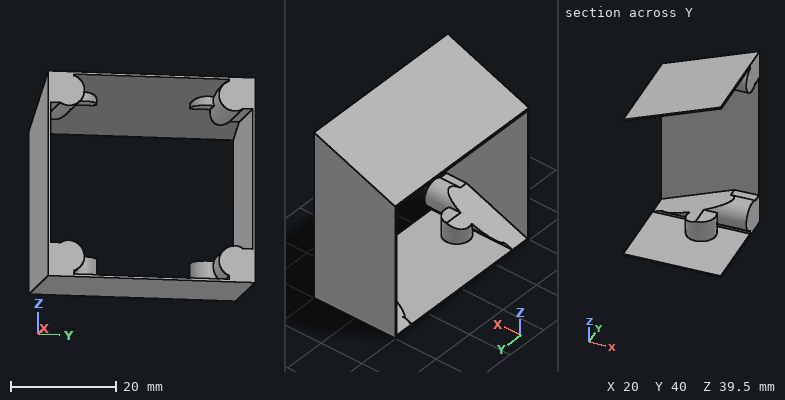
import cadquery as cq

depth = 20.0
width = 40.0
frame_height = 40.0
wall = 0.5
slope = 0.4
front_height = 31.55
back_height = front_height + slope * depth

block_width = 5.0
block_height = 6.5
boss_radius = 3.0
long_boss_offset = 4.0
post_side_offset = 8.0
post_x = 11.2
post_height = 5.0


def side_prism(points):
    """Extrude an X-Z outline across the whole width of the part."""
    return cq.Workplane("XZ").polyline(points).close().extrude(-width)


def corner_support():
    """Block, boss along X and upright post in the corner at Y = 0, Z = 0."""
    block = cq.Workplane("XY").box(depth, block_width, block_height, centered=False)
    long_boss = (
        cq.Workplane("YZ")
        .center(long_boss_offset, long_boss_offset)
        .circle(boss_radius)
        .extrude(depth)
    )
    post = (
        cq.Workplane("XY")
        .center(post_x, post_side_offset)
        .circle(boss_radius)
        .extrude(post_height)
    )
    return block.union(long_boss).union(post)


def mirror_across_width(shape):
    return shape.mirror("XZ", (0, width / 2, 0))


envelope = side_prism([(0, 0), (depth, 0), (depth, back_height), (0, front_height)])

opening = side_prism([
    (0, wall),
    (depth, wall),
    (depth, back_height - wall),
    (0, front_height - wall),
]).intersect(
    cq.Workplane("XY").box(depth, width - 2 * wall, frame_height, centered=False)
    .translate((0, wall, 0))
)
shell = envelope.cut(opening)

ramp = side_prism([(0, 0), (depth, 0), (depth, wall + slope * depth), (0, wall)])
support = corner_support()
lower_support = support.intersect(ramp)

upper_support = support.mirror("XY", (0, 0, frame_height / 2)).intersect(envelope)

result = shell
for corner in (lower_support, upper_support):
    result = result.union(corner).union(mirror_across_width(corner))